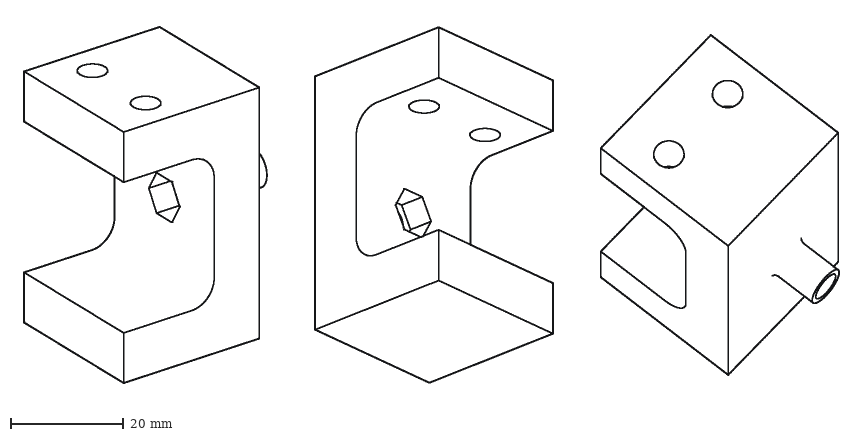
import cadquery as cq

WIDTH = 30.0
BODY_DEPTH = 30.0
HEIGHT = 50.0
WALL = 10.0
INNER_RADIUS = 5.0

STEM_DIAMETER = 7.4
STEM_LENGTH = 10.0
STEM_FILLET = 2.0
BORE_DIAMETER = 5.4

NUT_ACROSS_CORNERS = 9.3
NUT_DEPTH = 5.0

ARM_HOLE_DIAMETER = 5.4
ARM_HOLE_SPACING = 16.0

ARM_LENGTH = BODY_DEPTH - WALL
FRONT_Y = -BODY_DEPTH
INNER_FACE_Y = -WALL
ARM_MIDDLE_Y = FRONT_Y + ARM_LENGTH / 2
OPENING_HEIGHT = HEIGHT - 2 * WALL
STEM_ROOT_Y = INNER_FACE_Y / 2


def make_body():
    """C-shaped block with rounded inner corners."""
    block = cq.Workplane("XY").box(WIDTH, BODY_DEPTH, HEIGHT).translate((0, -BODY_DEPTH / 2, 0))
    opening = (
        cq.Workplane("XY")
        .box(WIDTH, ARM_LENGTH, OPENING_HEIGHT)
        .faces(">Y")
        .edges("|X")
        .fillet(INNER_RADIUS)
        .translate((0, ARM_MIDDLE_Y, 0))
    )
    return block.cut(opening)


def add_stem(body):
    """Round stem on the back face, blended into the body by a concave fillet."""
    stem_radius = STEM_DIAMETER / 2
    profile = (
        cq.Workplane("XY")
        .moveTo(0, STEM_ROOT_Y)
        .lineTo(stem_radius + STEM_FILLET, STEM_ROOT_Y)
        .lineTo(stem_radius + STEM_FILLET, 0)
        .radiusArc((stem_radius, STEM_FILLET), STEM_FILLET)
        .lineTo(stem_radius, STEM_LENGTH)
        .lineTo(0, STEM_LENGTH)
        .close()
    )
    return body.union(profile.revolve(360, (0, 0, 0), (0, 1, 0)))


def cut_bore_and_nut_pocket(body):
    """Bore through the back wall and stem, and the nut pocket at its inner end."""
    inner_face = cq.Workplane("XZ", origin=(0, INNER_FACE_Y, 0))
    bore = inner_face.circle(BORE_DIAMETER / 2).extrude(-(WALL + STEM_LENGTH))
    pocket = inner_face.polygon(6, NUT_ACROSS_CORNERS).extrude(-NUT_DEPTH)
    return body.cut(bore).cut(pocket)


def cut_arm_holes(body):
    """Vertical holes through the upper arm, midway along it."""
    holes = (
        cq.Workplane("XY", origin=(0, ARM_MIDDLE_Y, OPENING_HEIGHT / 2))
        .rarray(ARM_HOLE_SPACING, 1, 2, 1)
        .circle(ARM_HOLE_DIAMETER / 2)
        .extrude(WALL)
    )
    return body.cut(holes)


result = make_body()
result = add_stem(result)
result = cut_bore_and_nut_pocket(result)
result = cut_arm_holes(result)